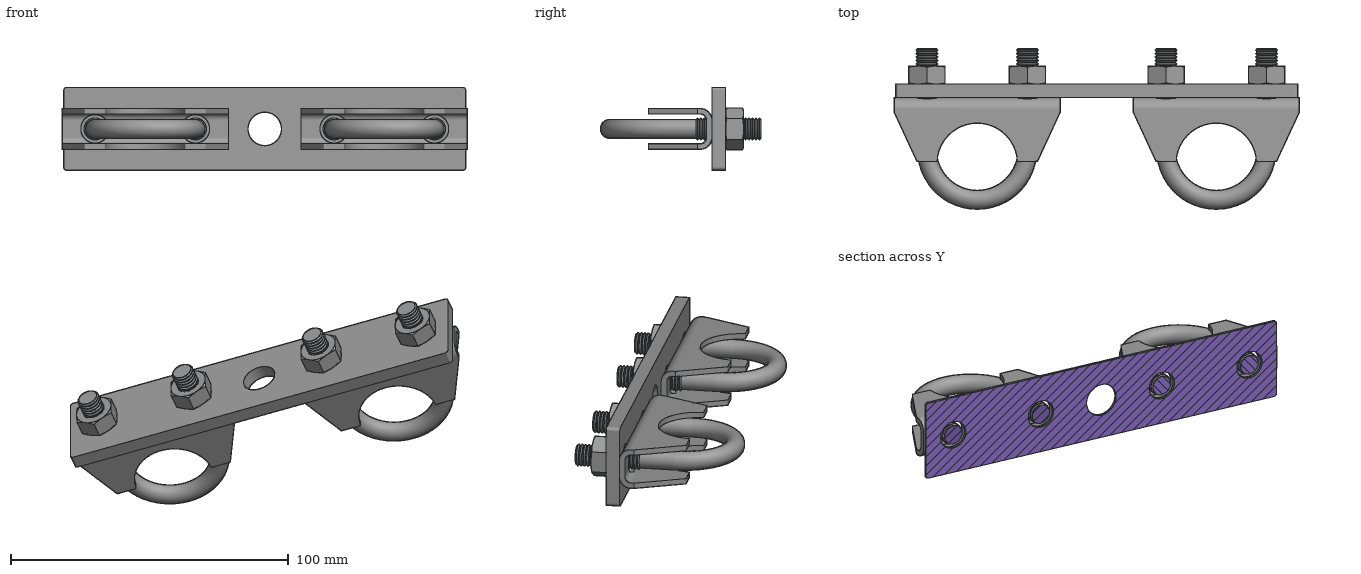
import cadquery as cq
import math

overall_length = 146.0
overall_width = 58.0
clamp_x = 43.0
leg_offset = 18.1
plate_back_y = 16.2
clamp_centres = (-clamp_x, clamp_x)
leg_centres = [centre + side * leg_offset for centre in clamp_centres for side in (-1, 1)]

plate_length = 145.0
plate_height = 30.0
plate_thickness = 5.0
plate_corner_radius = 1.2
mounting_hole_diameter = 12.0
plate_front_y = plate_back_y - plate_thickness

saddle_length = overall_length - 2 * clamp_x
saddle_height = 14.7
saddle_wall = 2.0
saddle_bend_radius = 4.2
saddle_end_y = -11.7
taper_start_y = 6.0
arm_end_width = 43.5
arm_tip_radius = 0.3
saddle_opening_radius = 14.5
saddle_opening_y = -12.4
bolt_hole_diameter = 10.2

rod_diameter = 6.9
thread_diameter = 7.9
thread_pitch = 1.24
thread_ridges = 19
ridge_base = 1.0
bolt_tip_y = overall_width / 2
rod_radius = rod_diameter / 2
bend_centre_y = bolt_tip_y - overall_width + leg_offset + rod_radius

nut_sides = 6
nut_flats = 13.1
nut_thickness = 6.4
nut_chamfer_angle = 20.0
nut_corners = nut_flats / math.cos(math.pi / nut_sides)


def y_cylinder(diameter, x, y_start, y_end):
    """Cylinder along Y from y_start up to y_end, centred on Z = 0."""
    return cq.Workplane("XZ", origin=(x, y_end, 0)).circle(diameter / 2).extrude(y_end - y_start)


def x_channel_block(length, height, y_start, y_end, edge_radius):
    """Block along X whose two long edges on the +Y side are rounded."""
    block = cq.Workplane("XY").box(length, y_end - y_start, height)
    block = block.translate((0, (y_start + y_end) / 2, 0))
    return block.faces(">Y").edges("|X").fillet(edge_radius)


def make_plate():
    plate = cq.Workplane("XY").box(plate_length, plate_thickness, plate_height)
    plate = plate.edges("|Y").fillet(plate_corner_radius)
    plate = plate.translate((0, plate_back_y - plate_thickness / 2, 0))
    plate = plate.cut(y_cylinder(mounting_hole_diameter, 0, plate_front_y, plate_back_y))
    for x in leg_centres:
        plate = plate.cut(y_cylinder(bolt_hole_diameter, x, plate_front_y, plate_back_y))
    return plate


def make_saddle(x):
    saddle = x_channel_block(saddle_length, saddle_height, saddle_end_y, plate_front_y, saddle_bend_radius)
    inside = x_channel_block(
        saddle_length,
        saddle_height - 2 * saddle_wall,
        saddle_end_y,
        plate_front_y - saddle_wall,
        saddle_bend_radius - saddle_wall,
    )
    saddle = saddle.cut(inside)

    outline = (
        cq.Workplane("XY")
        .polyline([
            (-saddle_length / 2, plate_front_y),
            (saddle_length / 2, plate_front_y),
            (saddle_length / 2, taper_start_y),
            (arm_end_width / 2, saddle_end_y),
            (-arm_end_width / 2, saddle_end_y),
            (-saddle_length / 2, taper_start_y),
        ])
        .close()
        .extrude(saddle_height / 2, both=True)
    )
    saddle = saddle.intersect(outline)

    opening = (
        cq.Workplane("XY")
        .center(0, saddle_opening_y)
        .circle(saddle_opening_radius)
        .extrude(saddle_height / 2, both=True)
    )
    saddle = saddle.cut(opening)
    saddle = saddle.faces("<Y").edges("|Z").fillet(arm_tip_radius)

    opening_top_y = saddle_opening_y + saddle_opening_radius
    for leg_x in (-leg_offset, leg_offset):
        saddle = saddle.cut(y_cylinder(bolt_hole_diameter, leg_x, opening_top_y, plate_front_y))
    return saddle.translate((x, 0, 0))


def make_threaded_leg(x):
    """Straight leg with ring-shaped thread ridges counted back from its tip."""
    outline = cq.Workplane("XY").moveTo(0, bolt_tip_y).lineTo(rod_radius, bolt_tip_y)
    for ridge in range(thread_ridges):
        crest_y = bolt_tip_y - (ridge + 0.5) * thread_pitch
        outline = (
            outline.lineTo(rod_radius, crest_y + ridge_base / 2)
            .lineTo(thread_diameter / 2, crest_y)
            .lineTo(rod_radius, crest_y - ridge_base / 2)
        )
    outline = outline.lineTo(rod_radius, bend_centre_y).lineTo(0, bend_centre_y).close()
    return outline.revolve(360, (0, 0, 0), (0, 1, 0)).translate((x, 0, 0))


def make_u_bolt(x):
    bend = (
        cq.Workplane("XZ", origin=(0, bend_centre_y, 0))
        .center(leg_offset, 0)
        .circle(rod_radius)
        .revolve(180, (-leg_offset, 0, 0), (-leg_offset, -1, 0))
    )
    u_bolt = bend.union(make_threaded_leg(-leg_offset)).union(make_threaded_leg(leg_offset))
    return u_bolt.translate((x, 0, 0))


def make_nut(x):
    nut_end_y = plate_back_y + nut_thickness
    nut = (
        cq.Workplane("XZ", origin=(x, nut_end_y, 0))
        .transformed(rotate=(0, 0, 90))
        .polygon(nut_sides, nut_corners)
        .extrude(nut_thickness)
    )
    chamfer_width = (nut_corners - nut_flats) / 2
    chamfer_depth = chamfer_width * math.tan(math.radians(nut_chamfer_angle))
    envelope = y_cylinder(nut_corners, x, plate_back_y, nut_end_y)
    envelope = envelope.edges().chamfer(chamfer_depth, chamfer_width)
    return nut.intersect(envelope).cut(y_cylinder(thread_diameter, x, plate_back_y, nut_end_y))


plate = make_plate()
saddles = [make_saddle(x) for x in clamp_centres]
u_bolts = [make_u_bolt(x) for x in clamp_centres]
nuts = [make_nut(x) for x in leg_centres]

result = cq.Compound.makeCompound(
    [plate.val()] + [body.val() for body in saddles + u_bolts + nuts]
)